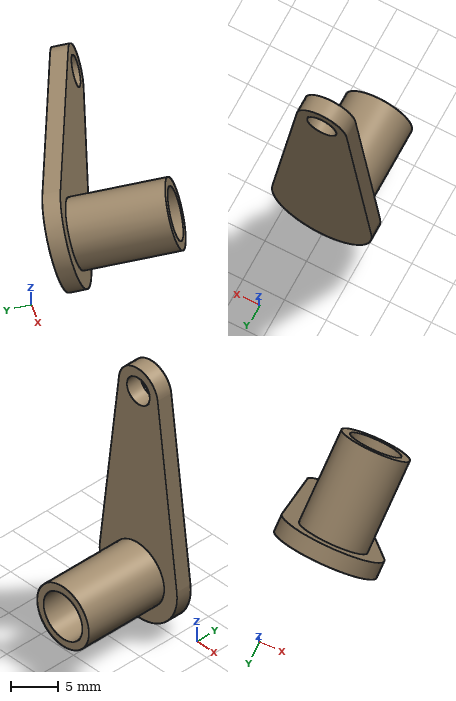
import cadquery as cq
import math

overall_height = 33.5
hub_radius = 6.0
tip_radius = 3.0
lever_thickness = 2.0
tip_hole_diameter = 3.52
tube_outer_diameter = 8.0
tube_bore_diameter = 6.0
tube_length = 11.0

center_distance = overall_height - hub_radius - tip_radius


def make_lever():
    """Flat tapered lever: two round ends joined by their common tangents."""
    tangent_angle = math.asin((hub_radius - tip_radius) / center_distance)
    hub_x = hub_radius * math.cos(tangent_angle)
    hub_z = hub_radius * math.sin(tangent_angle)
    tip_x = tip_radius * math.cos(tangent_angle)
    tip_z = center_distance + tip_radius * math.sin(tangent_angle)

    blank = (
        cq.Workplane("XZ")
        .moveTo(hub_x, hub_z)
        .lineTo(tip_x, tip_z)
        .threePointArc((0, center_distance + tip_radius), (-tip_x, tip_z))
        .lineTo(-hub_x, hub_z)
        .threePointArc((0, -hub_radius), (hub_x, hub_z))
        .close()
        .extrude(-lever_thickness)
    )
    tip_hole = (
        cq.Workplane("XZ")
        .center(0, center_distance)
        .circle(tip_hole_diameter / 2)
        .extrude(-lever_thickness)
    )
    return blank.cut(tip_hole)


def make_tube():
    """Tube standing on the lever's front face, concentric with the wide end."""
    return (
        cq.Workplane("XZ")
        .circle(tube_outer_diameter / 2)
        .circle(tube_bore_diameter / 2)
        .extrude(tube_length)
    )


lever = make_lever()
tube = make_tube()

result = cq.Compound.makeCompound([lever.val(), tube.val()])